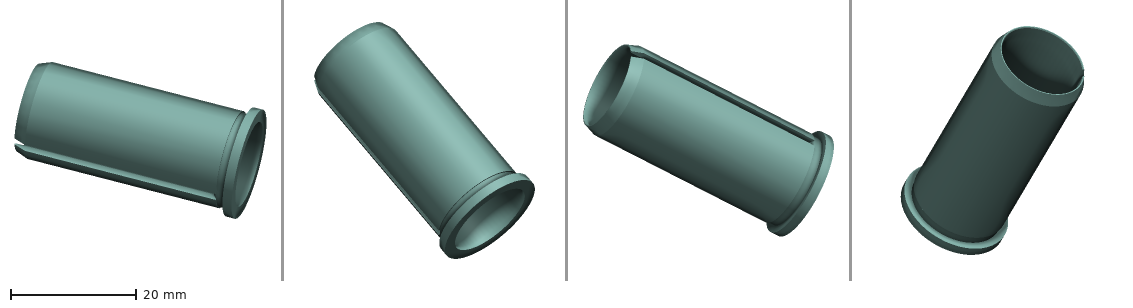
import cadquery as cq

length = 37.0
flange_diameter = 18.0
flange_thickness = 1.5
body_diameter = 16.0
neck_diameter = 15.5
neck_width = 1.48
bore_diameter = 14.0
mouth_diameter = 14.5
taper_length = 2.0
slot_width = 1.5
slot_end_slope_length = 0.63
mouth_chamfer_length = 0.2
mouth_chamfer_depth = 0.1

flange_start = length - flange_thickness
neck_start = flange_start - neck_width


def sleeve():
    """Revolve the wall section, drawn as (axial position, radius)."""
    bore_radius = bore_diameter / 2
    section = [
        (mouth_chamfer_length, bore_radius),
        (0, bore_radius + mouth_chamfer_depth),
        (0, mouth_diameter / 2),
        (taper_length, body_diameter / 2),
        (neck_start, body_diameter / 2),
        (neck_start, neck_diameter / 2),
        (flange_start, neck_diameter / 2),
        (flange_start, flange_diameter / 2),
        (length, flange_diameter / 2),
        (length, bore_radius),
    ]
    profile = cq.Workplane("XY").polyline(section).close()
    return profile.revolve(360, (0, 0, 0), (1, 0, 0))


def slot_cutter():
    """Slot through the -Y wall, open at the mouth, with a sloped end that rises to the neck."""
    bore_radius = bore_diameter / 2
    neck_radius = neck_diameter / 2
    slope_start = neck_start - slot_end_slope_length
    section = [
        (0, 0),
        (slope_start, 0),
        (slope_start, -bore_radius),
        (neck_start, -neck_radius),
        (neck_start, -body_diameter / 2),
        (0, -body_diameter / 2),
    ]
    return cq.Workplane("XY").polyline(section).close().extrude(slot_width / 2, both=True)


result = sleeve().cut(slot_cutter())